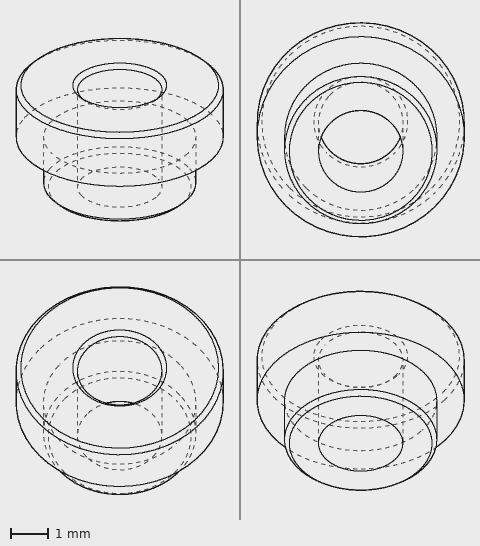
import cadquery as cq

collar_diameter = 5.56
collar_height = 1.58
total_height = 3.1
spigot_diameter = 4.085
bore_diameter = 2.265
edge_chamfer = 0.13

spigot_height = total_height - collar_height

spigot = (
    cq.Workplane("XY")
    .circle(spigot_diameter / 2)
    .extrude(spigot_height)
    .faces("<Z")
    .chamfer(edge_chamfer)
)

collar = (
    cq.Workplane("XY")
    .workplane(offset=spigot_height)
    .circle(collar_diameter / 2)
    .extrude(collar_height)
)

bore = cq.Workplane("XY").circle(bore_diameter / 2).extrude(total_height)

result = spigot.union(collar).cut(bore).faces(">Z").chamfer(edge_chamfer)